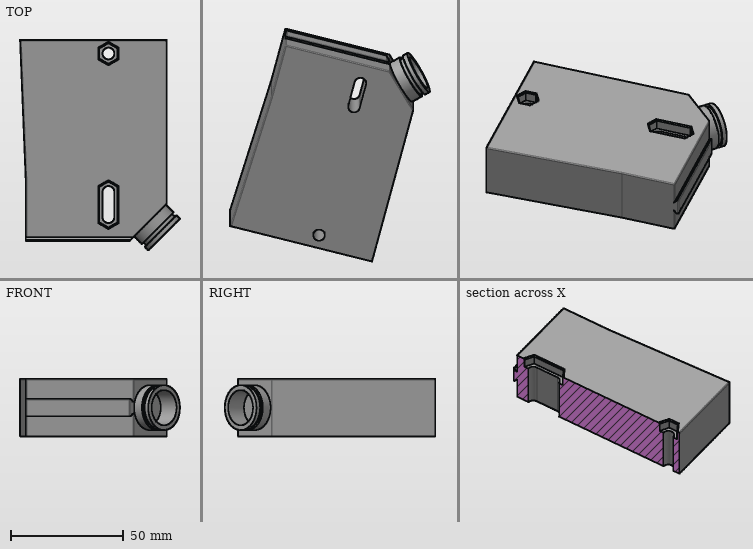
import cadquery as cq
import math

WIDTH = 65.5
DEPTH = 88.0
HEIGHT = 25.8
LEFT_INSET = 2.5
TAPER_START_Y = 25.0
CORNER_CUT = 14.9
EDGE_RADIUS = 0.5

RAIL_HEIGHT = 7.8
RAIL_REACH = 1.8
RAIL_LIP = 0.6
RAIL_EDGE_RADIUS = 0.3

CONNECTOR_DIAMETER = 20.1
CONNECTOR_REACH = 5.9
CONNECTOR_LENGTH = (CONNECTOR_REACH + CORNER_CUT / 2) * math.sqrt(2) - CONNECTOR_DIAMETER / 2
BORE_DIAMETER = 15.7
BORE_DEPTH = 10.0
GROOVE_DIAMETER = 18.1
GROOVE_START = 4.9
GROOVE_WIDTH = 1.8

MOUNT_X = 39.5
HOLE_Y = 81.9
SLOT_Y = 14.6
SLOT_TRAVEL = 11.3
HOLE_DIAMETER = 5.2
NUT_WIDTH = 8.0
NUT_DEPTH = 4.9
NUT_CHAMFER = 0.6


def make_housing():
    outline = [
        (0, DEPTH),
        (LEFT_INSET, TAPER_START_Y),
        (LEFT_INSET, 0),
        (WIDTH - CORNER_CUT, 0),
        (WIDTH, CORNER_CUT),
        (WIDTH, DEPTH),
    ]
    block = cq.Workplane("XY").polyline(outline).close().extrude(HEIGHT / 2, both=True)
    for corner in ((LEFT_INSET, 0, 0), (WIDTH - CORNER_CUT, 0, 0), (WIDTH, CORNER_CUT, 0)):
        block = block.edges(cq.selectors.NearestToPointSelector(corner)).fillet(EDGE_RADIUS)
    return block.faces("<Z or >Z").edges().fillet(EDGE_RADIUS)


def make_rail():
    """Dovetail with 45 degree flanks, its right end trimmed flush with the corner cut."""
    tip = RAIL_HEIGHT / 2
    flare_y = RAIL_LIP - RAIL_REACH
    root_y = EDGE_RADIUS
    root = tip - (root_y - flare_y)
    profile = [
        (root_y, -root),
        (flare_y, -tip),
        (-RAIL_REACH, -tip),
        (-RAIL_REACH, tip),
        (flare_y, tip),
        (root_y, root),
    ]
    bar = cq.Workplane("YZ", origin=(LEFT_INSET, 0, 0)).polyline(profile).close().extrude(WIDTH)
    cut_x = WIDTH - CORNER_CUT
    trim_outline = [
        (0, -RAIL_REACH),
        (cut_x - RAIL_REACH, -RAIL_REACH),
        (cut_x + root_y, root_y),
        (0, root_y),
    ]
    trim = cq.Workplane("XY").polyline(trim_outline).close().extrude(HEIGHT / 2, both=True)
    rail = bar.intersect(trim)
    rail = rail.faces("<Y").edges("|Z").fillet(EDGE_RADIUS)
    return rail.faces("<Y").edges("|X").fillet(RAIL_EDGE_RADIUS)


def connector_plane():
    """Plane on the middle of the corner cut, facing outward."""
    centre = (WIDTH - CORNER_CUT / 2, CORNER_CUT / 2, 0)
    return cq.Plane(origin=centre, xDir=(0, 0, 1), normal=(1, -1, 0))


def make_connector():
    base = cq.Workplane(connector_plane())
    barrel = base.circle(CONNECTOR_DIAMETER / 2).extrude(CONNECTOR_LENGTH)
    groove = (
        base.workplane(offset=GROOVE_START)
        .circle(CONNECTOR_DIAMETER / 2)
        .circle(GROOVE_DIAMETER / 2)
        .extrude(GROOVE_WIDTH)
    )
    return barrel.cut(groove)


def make_bore():
    mouth = cq.Workplane(connector_plane()).workplane(offset=CONNECTOR_LENGTH)
    return mouth.circle(BORE_DIAMETER / 2).extrude(-BORE_DEPTH)


def nut_outline(flats, travel):
    """Hexagon with points along Y, stretched by the travel."""
    side = flats / 2
    shoulder = travel / 2 + side * math.tan(math.radians(30))
    point = travel / 2 + side / math.cos(math.radians(30))
    return [
        (0, point),
        (side, shoulder),
        (side, -shoulder),
        (0, -point),
        (-side, -shoulder),
        (-side, shoulder),
    ]


def make_mount(y, travel):
    """Through hole (a slot if it has travel) below a nut pocket with a chamfered rim."""
    top = cq.Workplane("XY", origin=(MOUNT_X, y, HEIGHT / 2))
    pocket = top.polyline(nut_outline(NUT_WIDTH, travel)).close().extrude(-NUT_DEPTH)
    pocket = pocket.union(
        top.polyline(nut_outline(NUT_WIDTH + 2 * NUT_CHAMFER, travel)).close()
        .extrude(-NUT_CHAMFER, taper=45)
    )
    if travel:
        hole = top.slot2D(travel + HOLE_DIAMETER, HOLE_DIAMETER, 90)
    else:
        hole = top.circle(HOLE_DIAMETER / 2)
    return pocket.union(hole.extrude(-HEIGHT))


result = make_housing().union(make_rail()).union(make_connector()).cut(make_bore())
for mount_y, mount_travel in ((HOLE_Y, 0), (SLOT_Y, SLOT_TRAVEL)):
    result = result.cut(make_mount(mount_y, mount_travel))